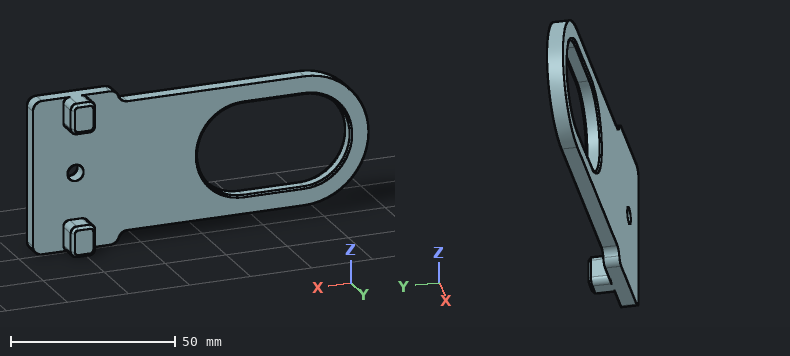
import cadquery as cq
import math

length = 110.0
thickness = 5.0
arm_width = 42.0
head_width = 50.0
head_start = 84.66
corner_radius = 3.0

rim = 6.0
window_length = 50.0
window_chamfer = 0.6

hole_diameter = 5.2
fastening_x = 96.0
peg_size_x = 8.0
peg_size_z = 10.0
peg_height = 7.0
peg_corner_radius = 2.0
peg_chamfer = 1.0

arm_radius = arm_width / 2
head_half = head_width / 2
window_width = arm_width - 2 * rim

shoulder_rise = head_half - arm_radius
shoulder_turn = math.acos(1 - shoulder_rise / (2 * corner_radius))
shoulder_run = 2 * corner_radius * math.sin(shoulder_turn)
arm_end = head_start - shoulder_run


def front_plane():
    """Workplane on the front face, with its normal along +Y and local y along -Z."""
    return cq.Workplane(cq.Plane(origin=(0, 0, 0), xDir=(1, 0, 0), normal=(0, 1, 0)))


def make_plate():
    """Flat plate: round-ended arm, S-shaped shoulders and a wider head."""
    middle_x = (arm_end + head_start) / 2
    middle_z = (arm_radius + head_half) / 2
    outline = (
        front_plane()
        .moveTo(arm_radius, -arm_radius)
        .threePointArc((0, 0), (arm_radius, arm_radius))
        .lineTo(arm_end, arm_radius)
        .tangentArcPoint((middle_x, middle_z), relative=False)
        .tangentArcPoint((head_start, head_half), relative=False)
        .lineTo(length, head_half)
        .lineTo(length, -head_half)
        .lineTo(head_start, -head_half)
        .tangentArcPoint((middle_x, -middle_z), relative=False)
        .tangentArcPoint((arm_end, -arm_radius), relative=False)
        .close()
    )
    plate = outline.extrude(thickness)
    return plate.edges("|Y and >X").fillet(corner_radius)


def make_window():
    """Cutter for the rounded window, with a 45 degree chamfer around its front and back rims."""
    centre = front_plane().center(rim + window_length / 2, 0)
    opening = centre.slot2D(window_length, window_width).extrude(thickness)
    rim_length = window_length + 2 * window_chamfer
    rim_width = window_width + 2 * window_chamfer
    front_chamfer = centre.slot2D(rim_length, rim_width).extrude(window_chamfer, taper=45)
    back_chamfer = front_chamfer.mirror("XZ").translate((0, thickness, 0))
    return opening.union(front_chamfer).union(back_chamfer)


def make_hole():
    """Cutter for the round hole through the head."""
    return front_plane().center(fastening_x, 0).circle(hole_diameter / 2).extrude(thickness)


def make_peg(side):
    """Peg behind the plate, flush with the long edge of the head on the given side (+1 or -1)."""
    peg_z = side * (head_half - peg_size_z / 2)
    return (
        cq.Workplane("XY")
        .box(peg_size_x, peg_height, peg_size_z)
        .edges("|Y")
        .fillet(peg_corner_radius)
        .faces(">Y")
        .chamfer(peg_chamfer)
        .translate((fastening_x, thickness + peg_height / 2, peg_z))
    )


result = make_plate().cut(make_window()).cut(make_hole())
for side in (1, -1):
    result = result.union(make_peg(side))